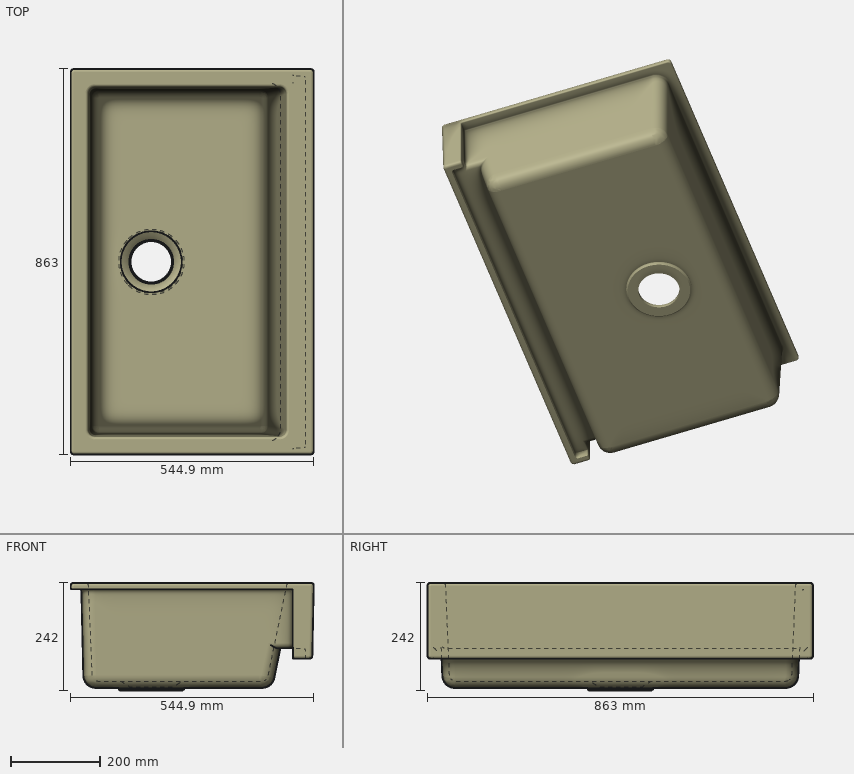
import cadquery as cq
import math

length = 863.0
width = 545.0
height = 242.0

rim_thickness = 15.0
apron_depth = 170.0
apron_inner_x = 497.0
apron_lean = 3.5
corner_radius = 8.0
top_radius = 7.0
edge_radius = 3.0

wall = 15.5
boss_height = 6.0
bowl_depth = height - boss_height
bowl_left_x = 23.0
outer_left_draft = 1.3
bowl_half_length = 407.0
end_draft = 2.4
bowl_right_x = 500.0
slope_angle = 11.6
outer_radius = 29.0
inner_radius = 15.5
mouth_radius = 6.0

shoulder_depth = 147.0
shoulder_radius = 12.0
shoulder_start_x = 388.0
pocket_radius = 6.0

drain_x = 180.0
boss_diameter = 147.0
boss_chamfer = 3.5
sump_diameter = 136.0
sump_floor_diameter = 98.0
sump_depth = 12.0
drain_diameter = 92.0


def slope(angle):
    return math.tan(math.radians(angle))


def end_wall_prism(half_length, depth, x_start, x_end):
    """Solid between the two drafted end walls, from z = 0 down to the given depth."""
    bottom_half = half_length - depth * slope(end_draft)
    return (
        cq.Workplane("YZ", origin=(x_start, 0, 0))
        .polyline([(-half_length, 0), (half_length, 0), (bottom_half, -depth), (-bottom_half, -depth)])
        .close()
        .extrude(x_end - x_start)
    )


def tub(inset, depth, left_draft, radius):
    """Drafted tub, inset from the outer bowl walls, with rounded corners and floor edge."""
    left = bowl_left_x + inset / math.cos(math.radians(left_draft))
    right = bowl_right_x - inset / math.cos(math.radians(slope_angle))
    half = bowl_half_length - inset / math.cos(math.radians(end_draft))
    profile = (
        cq.Workplane("XZ", origin=(0, half, 0))
        .polyline([
            (left, 0),
            (right, 0),
            (right - depth * slope(slope_angle), -depth),
            (left + depth * slope(left_draft), -depth),
        ])
        .close()
        .extrude(2 * half)
    )
    body = profile.intersect(end_wall_prism(half, depth, left, right))
    body = body.edges("not(#Z or |X or |Y)").fillet(radius)
    return body.faces("<Z").edges().fillet(radius)


def rim_and_apron():
    body = (
        cq.Workplane("XZ", origin=(0, length / 2, 0))
        .polyline([
            (0, 0),
            (width, 0),
            (width - apron_lean, -apron_depth),
            (apron_inner_x, -apron_depth),
            (apron_inner_x, -rim_thickness),
            (0, -rim_thickness),
        ])
        .close()
        .extrude(length)
    )
    outer_corners = body.faces("<X").edges("|Z").vals() + body.faces(">X").edges("not |Y").vals()
    body = body.newObject(outer_corners).fillet(corner_radius)
    body = body.faces(">Z").edges().fillet(top_radius)
    body = body.faces("<Z").edges("not <X").fillet(top_radius)
    body = body.cut(apron_pocket())
    inner_face = cq.selectors.NearestToPointSelector((apron_inner_x, 0, -apron_depth / 2))
    rim_underside = cq.selectors.NearestToPointSelector((apron_inner_x / 2, 0, -rim_thickness))
    inner_edges = body.faces(inner_face).edges().vals() + body.faces(rim_underside).edges("not >X").vals()
    return body.newObject(inner_edges).fillet(edge_radius)


def apron_pocket():
    """Open-bottomed pocket in the apron's inner face, level with the shoulder underside."""
    pocket_height = apron_depth - shoulder_depth
    pocket_depth = width - apron_lean - wall - apron_inner_x
    return (
        cq.Workplane("XY", origin=(0, 0, -apron_depth))
        .box(pocket_depth, length - 2 * wall, pocket_height, centered=(False, True, False))
        .translate((apron_inner_x, 0, 0))
        .edges(">X").edges("not <Z")
        .fillet(pocket_radius)
    )


def shoulder():
    body = end_wall_prism(bowl_half_length, shoulder_depth, shoulder_start_x, apron_inner_x + edge_radius)
    return body.faces("<Z").edges("|X").fillet(shoulder_radius)


def drain_boss():
    return (
        cq.Workplane("XY", origin=(drain_x, 0, -height))
        .circle(boss_diameter / 2)
        .extrude(boss_height + wall / 2)
        .faces("<Z")
        .chamfer(boss_chamfer)
    )


def drain_cut():
    """Conical sump in the bowl floor with a through hole at its centre."""
    floor_z = wall - bowl_depth
    sump = (
        cq.Workplane("XY", origin=(drain_x, 0, floor_z))
        .circle(sump_diameter / 2)
        .workplane(offset=-sump_depth)
        .circle(sump_floor_diameter / 2)
        .loft()
    )
    hole = cq.Workplane("XY", origin=(drain_x, 0, -height)).circle(drain_diameter / 2).extrude(height / 2)
    return sump.union(hole)


def round_joints(body):
    """Fill the corners where the bowl and shoulder meet the rim underside and the apron."""
    half_span = length / 2 - wall
    margin = 0.1
    lowest_z = margin - shoulder_depth
    rim_zone = cq.selectors.BoxSelector(
        (margin, -half_span, -rim_thickness - margin),
        (apron_inner_x, half_span, margin - rim_thickness),
        boundingbox=True,
    )
    apron_zone = cq.selectors.BoxSelector(
        (apron_inner_x - edge_radius - margin, -half_span, lowest_z),
        (apron_inner_x + margin, half_span, margin - rim_thickness),
        boundingbox=True,
    )
    return body.edges(rim_zone + apron_zone).fillet(edge_radius)


def round_mouth(body):
    mouth = body.faces(">Z").wires(cq.selectors.LengthNthSelector(0))
    return body.newObject(mouth.edges().vals()).fillet(mouth_radius)


bowl_outer = tub(0, bowl_depth, outer_left_draft, outer_radius)
bowl_cavity = tub(wall, bowl_depth - wall, end_draft, inner_radius)

outside = rim_and_apron().union(bowl_outer).union(shoulder()).union(drain_boss())
sink = round_joints(outside).cut(bowl_cavity).cut(drain_cut())
result = round_mouth(sink)